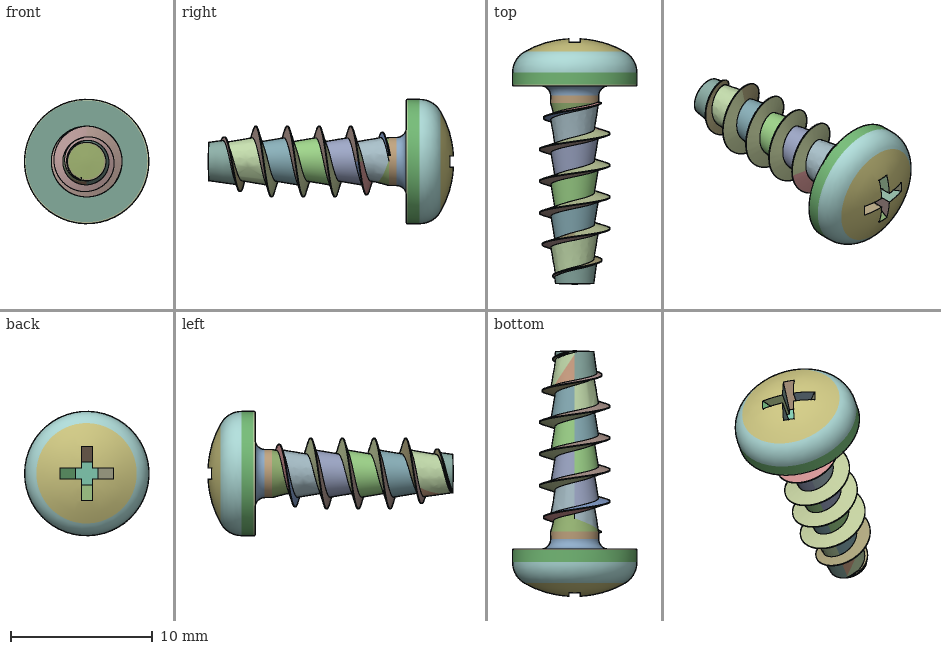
import cadquery as cq
import math


head_radius = 8.8 / 2
head_height = 3.37
rim_height = 0.95
rim_fillet = 0.1
shoulder_radius = 1.7

recess_reach = 1.9
recess_bottom_reach = 0.8
recess_wing_width = 0.78
recess_depth = 2.0

neck_radius = 1.71
neck_fillet = 0.67
neck_length = 1.2
neck_taper = math.tan(math.radians(15))
core_radius = 1.25
tip_radius = 1.36
tip_taper = math.tan(math.radians(8))
shank_length = 14.0
tip_cone_height = 0.05
tip_flare_length = 0.3
tip_depth = shank_length - tip_cone_height

pitch = 2.24
thread_radius = 5.0 / 2
helix_start_depth = 1.11
thread_start_radius = 1.95
thread_end_radius = 1.40
thread_root_radius = 1.20
crest_half_width = 0.03
flank_slope = math.tan(math.radians(15))
lead_in_start_turn = 0.04
lead_in_end_turn = 1.0
full_thread_end_turn = 4.25
thread_end_turn = 5.7

taper_top_radius = 1.705
taper_inner_radius = 1.20
taper_slope = math.tan(math.radians(9.5))
taper_offset = 0.1
taper_length = pitch - 2 * taper_offset
taper_bottom_radius = taper_top_radius - taper_length * taper_slope
taper_start_turn = -0.25
taper_turns = 6

points_per_turn = 24


def revolve_about_axis(outline):
    return outline.close().revolve(360, (0, 0, 0), (0, 1, 0))


def dome_radius():
    """Radius of the crown that is tangent to the shoulder arc and reaches the head height."""
    crown_rise = head_height - rim_height
    shoulder_offset = head_radius - shoulder_radius
    return (shoulder_offset**2 + crown_rise**2 - shoulder_radius**2) / (2 * (crown_rise - shoulder_radius))


def make_head():
    crown = dome_radius()
    crown_centre = head_height - crown
    shoulder_centre = head_radius - shoulder_radius
    tangent_angle = math.atan2(rim_height - crown_centre, shoulder_centre)

    def crown_point(angle):
        return crown * math.cos(angle), crown_centre + crown * math.sin(angle)

    def shoulder_point(angle):
        x = shoulder_centre + shoulder_radius * math.cos(angle)
        return x, rim_height + shoulder_radius * math.sin(angle)

    corner = rim_fillet * (1 - math.sqrt(0.5))
    outline = (
        cq.Workplane("XY")
        .lineTo(head_radius - rim_fillet, 0)
        .threePointArc((head_radius - corner, corner), (head_radius, rim_fillet))
        .lineTo(head_radius, rim_height)
        .threePointArc(shoulder_point(tangent_angle / 2), shoulder_point(tangent_angle))
        .threePointArc(crown_point((tangent_angle + math.pi / 2) / 2), (0, head_height))
    )
    return revolve_about_axis(outline)


def make_recess():
    """Two crossed wings that narrow from the crown surface down to the recess floor."""
    floor = head_height - recess_depth
    half_width = recess_wing_width / 2
    crown = dome_radius()
    mouth_edge = head_height - crown + math.sqrt(crown**2 - recess_reach**2)
    wing = (
        cq.Workplane("XY")
        .workplane(offset=-half_width)
        .moveTo(-recess_bottom_reach, floor)
        .lineTo(recess_bottom_reach, floor)
        .lineTo(recess_reach, mouth_edge)
        .lineTo(recess_reach, head_height)
        .lineTo(-recess_reach, head_height)
        .lineTo(-recess_reach, mouth_edge)
        .close()
        .extrude(recess_wing_width)
    )
    return wing.union(wing.rotate((0, 0, 0), (0, 1, 0), 90))


def make_shank():
    """Neck with its fillet, the neck taper, the plain core, the flare at its end and the shallow end cone."""
    fillet_mid = neck_fillet * (1 - math.sqrt(0.5))
    core_top_depth = neck_length + (neck_radius - core_radius) / neck_taper
    outline = (
        cq.Workplane("XY")
        .lineTo(neck_radius + neck_fillet, 0)
        .threePointArc((neck_radius + fillet_mid, -fillet_mid), (neck_radius, -neck_fillet))
        .lineTo(neck_radius, -neck_length)
        .lineTo(core_radius, -core_top_depth)
        .lineTo(core_radius, -(tip_depth - tip_flare_length))
        .lineTo(tip_radius, -tip_depth)
        .lineTo(core_radius, -tip_depth)
        .lineTo(0, -shank_length)
    )
    return revolve_about_axis(outline)


def make_tip_envelope():
    """Cone that limits the core near the tip."""
    top_radius = tip_radius + tip_taper * (tip_depth + head_height)
    outline = (
        cq.Workplane("XY")
        .moveTo(0, head_height)
        .lineTo(top_radius, head_height)
        .lineTo(tip_radius, -tip_depth)
        .lineTo(0, -tip_depth)
    )
    return revolve_about_axis(outline)


def helical_solid(start_turn, end_turn, start_profile, end_profile):
    """Solid between two (radius, depth offset) profiles, blended evenly along the helix."""
    steps = math.ceil((end_turn - start_turn) * points_per_turn)

    def rail(start, end):
        points = []
        for step in range(steps + 1):
            share = step / steps
            turn = start_turn + share * (end_turn - start_turn)
            radius = start[0] + share * (end[0] - start[0])
            offset = start[1] + share * (end[1] - start[1])
            angle = 2 * math.pi * turn
            depth = helix_start_depth + pitch * turn + offset
            points.append(cq.Vector(radius * math.cos(angle), -depth, radius * math.sin(angle)))
        return cq.Edge.makeSpline(points)

    rails = [rail(start, end) for start, end in zip(start_profile, end_profile)]
    faces = [cq.Face.makeRuledSurface(rails[i - 1], rails[i]) for i in range(len(rails))]
    for at_end in (0, 1):
        corners = [edge.positionAt(at_end) for edge in rails]
        faces.append(cq.Face.makeFromWires(cq.Wire.makePolygon(corners, close=True)))
    solid = cq.Solid.makeSolid(cq.Shell.makeShell(faces))
    return cq.Workplane("XY").newObject([solid.fix()])


def thread_profile(crest_radius):
    """Trapezoid with a narrow crest, its root buried in the core."""
    root_half_width = crest_half_width + (crest_radius - thread_root_radius) * flank_slope
    return [
        (thread_root_radius, -root_half_width),
        (crest_radius, -crest_half_width),
        (crest_radius, crest_half_width),
        (thread_root_radius, root_half_width),
    ]


def make_thread():
    """Rising lead-in, full-height thread and run-out towards the tip."""
    lead_in = thread_profile(thread_start_radius)
    full = thread_profile(thread_radius)
    run_out = thread_profile(thread_end_radius)
    return [
        helical_solid(lead_in_start_turn, lead_in_end_turn, lead_in, full),
        helical_solid(lead_in_end_turn, full_thread_end_turn, full, full),
        helical_solid(full_thread_end_turn, thread_end_turn, full, run_out),
    ]


def make_core_taper():
    """One turn of the taper, repeated down the core and trimmed by the tip cone."""
    profile = [
        (taper_inner_radius, taper_offset),
        (taper_top_radius, taper_offset),
        (taper_bottom_radius, taper_offset + taper_length),
        (taper_inner_radius, taper_offset + taper_length),
    ]
    first_turn = helical_solid(taper_start_turn, taper_start_turn + 1, profile, profile)
    tip_envelope = make_tip_envelope()
    return [
        first_turn.translate((0, -pitch * turn, 0)).intersect(tip_envelope)
        for turn in range(taper_turns)
    ]


result = make_shank()
for section in make_core_taper() + make_thread():
    result = result.union(section)
result = result.union(make_head()).cut(make_recess())